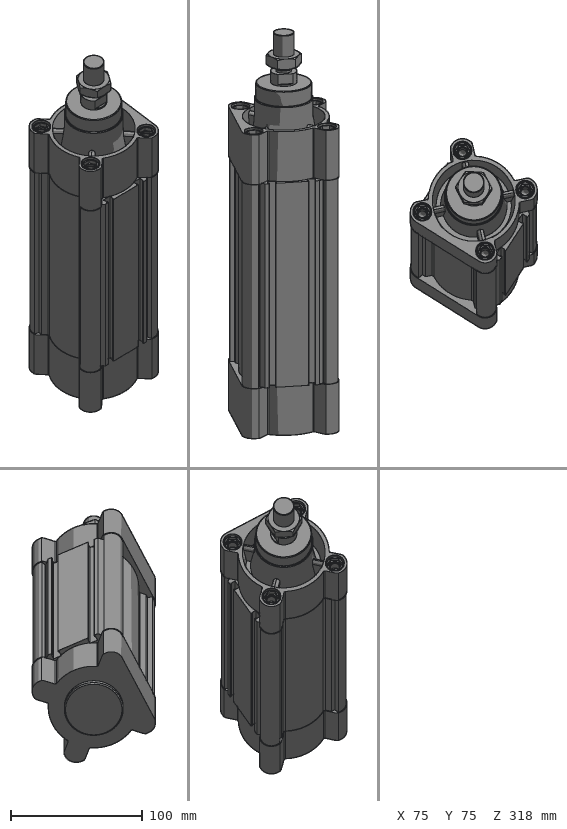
import cadquery as cq
import math

TOTAL_LENGTH = 318.0
BASE_SPIGOT_HEIGHT = 4.0
CAP_HEIGHT = 40.5
FRONT_CAP_TOP = 250.0
COLLAR_STEP = 265.5
COLLAR_TOP = 277.7
ROD_SHOULDER = 287.0
NUT_BOTTOM = 292.0
NUT_HEIGHT = 8.5
REAR_CAP_TOP = BASE_SPIGOT_HEIGHT + CAP_HEIGHT
FRONT_CAP_BOTTOM = FRONT_CAP_TOP - CAP_HEIGHT

CAP_WIDTH = 75.0
CORNER_OFFSET = 28.3
CORNER_FLAT_START = 26.0
CAP_CORE_RADIUS = 34.7
CAP_NECK_OFFSET = 12.0
CAP_VALLEY_WIDTH = 36.3
CAP_BEVEL_START = 24.5

BARREL_WIDTH = 73.8
BARREL_CORE_RADIUS = 34.5
BARREL_NECK_OFFSET = 11.0
BARREL_VALLEY_WIDTH = 37.5
BARREL_STEP_START = 22.3
BARREL_STEP_END = 25.0
LIP_END = 21.0
LIP_BEVEL = 3.8
SLOT_CENTRE = 15.3
SLOT_WIDTH = 6.5
SLOT_MOUTH_WIDTH = 5.0
SLOT_FLOOR = 32.0
SLOT_LIP_THICKNESS = 1.3

SPIGOT_DIAMETER = 45.0
SPIGOT_CHAMFER = 1.0
COLLAR_RIM_RADIUS = 21.3
COLLAR_BULGE_RADIUS = 21.5
COLLAR_CHAMFER = 0.5

RECESS_DEPTH = 19.0
RECESS_OUTER_DIAMETER = 63.0
RECESS_DRAFT_WIDTH = 3.0
FLAT_SIDE_DRAFT_WIDTH = 2.0
RIB_WIDTH = 5.0
RIB_TOP_DROP = 2.0
RIB_ARCH_HEIGHT = 2.5
RIB_ARCH_BULGE = 0.3

COUNTERBORE_DIAMETER = 14.0
COUNTERBORE_MOUTH_DIAMETER = 14.3
COUNTERBORE_DEPTH = 6.5
SCREW_HEAD_DIAMETER = 13.0
SCREW_HEAD_CHAMFER = 0.48
SCREW_HEAD_DROP = 1.3
SOCKET_WIDTH = 9.5
SOCKET_DEPTH = 3.2
SOCKET_NECK_DIAMETER = 8.0
SOCKET_NECK_DEPTH = 4.8
SCREW_HOLE_DIAMETER = 6.7
SCREW_HOLE_DEPTH = 12.7

ROD_DIAMETER = 20.0
ROD_FLAT_WIDTH = 16.2
ROD_FLAT_BOTTOM = 279.0
THREAD_DIAMETER = 16.0
THREAD_CHAMFER = 0.48
THREAD_ROOT_DIAMETER = 14.0
GROOVE_DIAMETER = 12.0
GROOVE_TOP = 289.0
NUT_WIDTH = 24.0


def ribbed_core(width, core_radius, neck_offset, valley_width, shoulder, bottom, height):
    """Round core with four corner columns on diagonal necks and a flat valley beside each neck.

    The shoulder points lead from the end of the neck to the flat side of the column. The same
    points, mirrored about the diagonal, form the other side of the column.
    """
    half = width / 2
    mid_arc = CORNER_OFFSET + (half - CORNER_OFFSET) / math.sqrt(2)
    plane = cq.Workplane("XY", origin=(0, 0, bottom))
    outline = plane.moveTo(0, neck_offset)
    for x, y in shoulder:
        outline = outline.lineTo(x, y)
    outline = (
        outline.lineTo(CORNER_FLAT_START, half)
        .lineTo(CORNER_OFFSET, half)
        .threePointArc((mid_arc, mid_arc), (half, CORNER_OFFSET))
        .lineTo(half, CORNER_FLAT_START)
    )
    for x, y in reversed(shoulder):
        outline = outline.lineTo(y, x)
    web = outline.lineTo(neck_offset, 0).lineTo(0, 0).close().extrude(height)
    valley_floor = valley_width / 2 + neck_offset
    body = plane.circle(core_radius).extrude(height)
    for turn in range(4):
        body = body.union(web.rotate((0, 0, 0), (0, 0, 1), 90 * turn))
    body = body.union(plane.rect(valley_width, 2 * valley_floor).extrude(height))
    return body.union(plane.rect(2 * valley_floor, valley_width).extrude(height))


def end_cap(bottom):
    """Cap with a round core, four corner columns and one flat face toward +Y."""
    half = CAP_WIDTH / 2
    shoulder = [(CAP_BEVEL_START, CAP_BEVEL_START + CAP_NECK_OFFSET)]
    body = ribbed_core(
        CAP_WIDTH, CAP_CORE_RADIUS, CAP_NECK_OFFSET, CAP_VALLEY_WIDTH, shoulder, bottom, CAP_HEIGHT
    )
    flat_side = (
        cq.Workplane("XY", origin=(0, 0, bottom))
        .polyline([
            (-CORNER_OFFSET, half),
            (CORNER_OFFSET, half),
            (CORNER_OFFSET, CORNER_OFFSET),
            (0, 0),
            (-CORNER_OFFSET, CORNER_OFFSET),
        ])
        .close()
        .extrude(CAP_HEIGHT)
    )
    return body.union(flat_side)


def make_barrel():
    """Extruded tube profile with two T-shaped slots on each X side."""
    length = FRONT_CAP_BOTTOM - REAR_CAP_TOP
    half = BARREL_WIDTH / 2
    plane = cq.Workplane("XY", origin=(0, 0, REAR_CAP_TOP))
    step_depth = BARREL_STEP_START + BARREL_NECK_OFFSET
    shoulder = [(BARREL_STEP_START, step_depth), (BARREL_STEP_END, step_depth)]
    body = ribbed_core(
        BARREL_WIDTH, BARREL_CORE_RADIUS, BARREL_NECK_OFFSET, BARREL_VALLEY_WIDTH, shoulder,
        REAR_CAP_TOP, length,
    )
    pad = plane.rect(BARREL_WIDTH, 2 * (LIP_END + LIP_BEVEL)).extrude(length)
    body = body.union(pad.edges("|Z").chamfer(LIP_BEVEL))
    slot_depth = half - SLOT_FLOOR
    for side in (-1, 1):
        for row in (-1, 1):
            mouth = plane.center(side * half, row * SLOT_CENTRE)
            body = body.cut(mouth.rect(2 * slot_depth, SLOT_MOUTH_WIDTH).extrude(length))
            pocket_depth = slot_depth - SLOT_LIP_THICKNESS
            pocket = plane.center(side * (SLOT_FLOOR + pocket_depth / 2), row * SLOT_CENTRE)
            body = body.cut(pocket.rect(pocket_depth, SLOT_WIDTH).extrude(length))
    return body


def collar():
    """Bearing collar standing on the front cap, with a slightly bulged upper part."""
    radius = SPIGOT_DIAMETER / 2
    chamfer_start = COLLAR_TOP - COLLAR_CHAMFER
    return (
        cq.Workplane("XZ")
        .moveTo(0, FRONT_CAP_TOP)
        .lineTo(radius, FRONT_CAP_TOP)
        .lineTo(radius, COLLAR_STEP - COLLAR_CHAMFER)
        .lineTo(radius - COLLAR_CHAMFER, COLLAR_STEP)
        .lineTo(COLLAR_RIM_RADIUS, COLLAR_STEP)
        .threePointArc(
            (COLLAR_BULGE_RADIUS, (COLLAR_STEP + chamfer_start) / 2),
            (COLLAR_RIM_RADIUS, chamfer_start),
        )
        .lineTo(COLLAR_RIM_RADIUS - COLLAR_CHAMFER, COLLAR_TOP)
        .lineTo(0, COLLAR_TOP)
        .close()
        .revolve(360, (0, 0, 0), (0, 1, 0))
    )


def drafted_ring(draft_width):
    """Ring around the collar whose two walls lean toward each other by the draft width."""
    outer = RECESS_OUTER_DIAMETER / 2
    inner = SPIGOT_DIAMETER / 2
    floor = FRONT_CAP_TOP - RECESS_DEPTH
    return (
        cq.Workplane("XZ")
        .polyline([
            (inner, FRONT_CAP_TOP),
            (outer, FRONT_CAP_TOP),
            (outer - draft_width, floor),
            (inner + draft_width, floor),
        ])
        .close()
        .revolve(360, (0, 0, 0), (0, 1, 0))
    )


def recess():
    """Ring-shaped pocket, steeper-walled in the +Y quarter, divided by four ribs with pointed arch tops."""
    outer = RECESS_OUTER_DIAMETER / 2
    floor = FRONT_CAP_TOP - RECESS_DEPTH
    flat_side_quarter = (
        cq.Workplane("XY", origin=(0, 0, floor))
        .polyline([(0, 0), (outer, outer), (-outer, outer)])
        .close()
        .extrude(RECESS_DEPTH)
    )
    ring = drafted_ring(RECESS_DRAFT_WIDTH)
    ring = ring.union(drafted_ring(FLAT_SIDE_DRAFT_WIDTH).intersect(flat_side_quarter))
    half_rib = RIB_WIDTH / 2
    crest = FRONT_CAP_TOP - RIB_TOP_DROP
    spring_line = crest - RIB_ARCH_HEIGHT
    arch_x = half_rib / 2 + RIB_ARCH_BULGE
    arch_z = crest - RIB_ARCH_HEIGHT / 2 + RIB_ARCH_BULGE
    rib = (
        cq.Workplane("YZ")
        .moveTo(-half_rib, floor)
        .lineTo(-half_rib, spring_line)
        .threePointArc((-arch_x, arch_z), (0, crest))
        .threePointArc((arch_x, arch_z), (half_rib, spring_line))
        .lineTo(half_rib, floor)
        .close()
        .extrude(outer)
    )
    for turn in range(4):
        ring = ring.cut(rib.rotate((0, 0, 0), (0, 0, 1), 45 + 90 * turn))
    return ring


def screw_recess():
    """Counterbore that leaves a hollow hexagon-socket screw head standing in it."""
    top = cq.Workplane("XY", origin=(0, 0, FRONT_CAP_TOP))
    head_top = cq.Workplane("XY", origin=(0, 0, FRONT_CAP_TOP - SCREW_HEAD_DROP))
    mouth_chamfer = (COUNTERBORE_MOUTH_DIAMETER - COUNTERBORE_DIAMETER) / 2
    bore = top.circle(COUNTERBORE_DIAMETER / 2).extrude(-COUNTERBORE_DEPTH)
    mouth = cq.Workplane(
        cq.Solid.makeCone(
            COUNTERBORE_DIAMETER / 2, COUNTERBORE_MOUTH_DIAMETER / 2, mouth_chamfer,
            cq.Vector(0, 0, FRONT_CAP_TOP - mouth_chamfer),
        )
    )
    head = head_top.circle(SCREW_HEAD_DIAMETER / 2).extrude(SCREW_HEAD_DROP - COUNTERBORE_DEPTH)
    head = head.faces(">Z").edges().chamfer(SCREW_HEAD_CHAMFER)
    socket = head_top.polygon(6, SOCKET_WIDTH, circumscribed=True).extrude(-SOCKET_DEPTH)
    socket_neck = head_top.circle(SOCKET_NECK_DIAMETER / 2).extrude(-SOCKET_NECK_DEPTH)
    hole_radius = SCREW_HOLE_DIAMETER / 2
    hole_floor = FRONT_CAP_TOP - SCREW_HOLE_DEPTH
    hole = (
        cq.Workplane("XZ")
        .polyline([
            (0, FRONT_CAP_TOP),
            (hole_radius, FRONT_CAP_TOP),
            (hole_radius, hole_floor),
            (0, hole_floor - hole_radius),
        ])
        .close()
        .revolve(360, (0, 0, 0), (0, 1, 0))
    )
    return bore.union(mouth).cut(head).union(socket).union(socket_neck).union(hole)


def make_housing():
    """Barrel with both end caps, the collar and the rear spigot."""
    spigot = cq.Workplane("XY").circle(SPIGOT_DIAMETER / 2).extrude(BASE_SPIGOT_HEIGHT)
    spigot = spigot.faces("<Z").edges().chamfer(SPIGOT_CHAMFER)
    body = make_barrel().union(end_cap(BASE_SPIGOT_HEIGHT)).union(end_cap(FRONT_CAP_BOTTOM))
    body = body.union(spigot).union(collar()).cut(recess())
    cutter = screw_recess()
    for x in (-CORNER_OFFSET, CORNER_OFFSET):
        for y in (-CORNER_OFFSET, CORNER_OFFSET):
            body = body.cut(cutter.translate((x, y, 0)))
    rod_bore = (
        cq.Workplane("XY", origin=(0, 0, FRONT_CAP_BOTTOM))
        .circle(ROD_DIAMETER / 2)
        .extrude(COLLAR_TOP - FRONT_CAP_BOTTOM)
    )
    return body.cut(rod_bore)


def make_rod():
    """Piston rod with two wrench flats, a relief groove and a threaded end."""
    shoulder_radius = ROD_DIAMETER / 2
    thread_radius = THREAD_DIAMETER / 2
    root_radius = THREAD_ROOT_DIAMETER / 2
    groove_radius = GROOVE_DIAMETER / 2
    rod = (
        cq.Workplane("XZ")
        .polyline([
            (0, FRONT_CAP_BOTTOM),
            (shoulder_radius, FRONT_CAP_BOTTOM),
            (shoulder_radius, ROD_SHOULDER),
            (groove_radius, ROD_SHOULDER),
            (groove_radius, GROOVE_TOP),
            (root_radius, GROOVE_TOP),
            (root_radius, NUT_BOTTOM),
            (thread_radius, NUT_BOTTOM),
            (thread_radius, TOTAL_LENGTH - THREAD_CHAMFER),
            (thread_radius - THREAD_CHAMFER, TOTAL_LENGTH),
            (0, TOTAL_LENGTH),
        ])
        .close()
        .revolve(360, (0, 0, 0), (0, 1, 0))
    )
    for side in (-1, 1):
        flat = (
            cq.Workplane("XY", origin=(side * (ROD_FLAT_WIDTH + ROD_DIAMETER) / 2, 0, ROD_FLAT_BOTTOM))
            .rect(ROD_DIAMETER, ROD_DIAMETER)
            .extrude(ROD_SHOULDER - ROD_FLAT_BOTTOM)
        )
        rod = rod.cut(flat)
    return rod


def make_nut():
    """Hexagon nut with corners bevelled at both ends and two corners on the Y axis."""
    corner_radius = NUT_WIDTH / math.sqrt(3)
    bevel = corner_radius - NUT_WIDTH / 2
    nut = (
        cq.Workplane("XY", origin=(0, 0, NUT_BOTTOM))
        .polygon(6, NUT_WIDTH, circumscribed=True)
        .extrude(NUT_HEIGHT)
    )
    envelope = (
        cq.Workplane("XY", origin=(0, 0, NUT_BOTTOM))
        .circle(corner_radius)
        .extrude(NUT_HEIGHT)
        .edges()
        .chamfer(bevel / 2, bevel)
    )
    bore = (
        cq.Workplane("XY", origin=(0, 0, NUT_BOTTOM))
        .circle(THREAD_DIAMETER / 2)
        .extrude(NUT_HEIGHT)
    )
    return nut.intersect(envelope).cut(bore)


housing = make_housing()
rod = make_rod()
nut = make_nut()

result = cq.Compound.makeCompound([housing.val(), rod.val(), nut.val()])